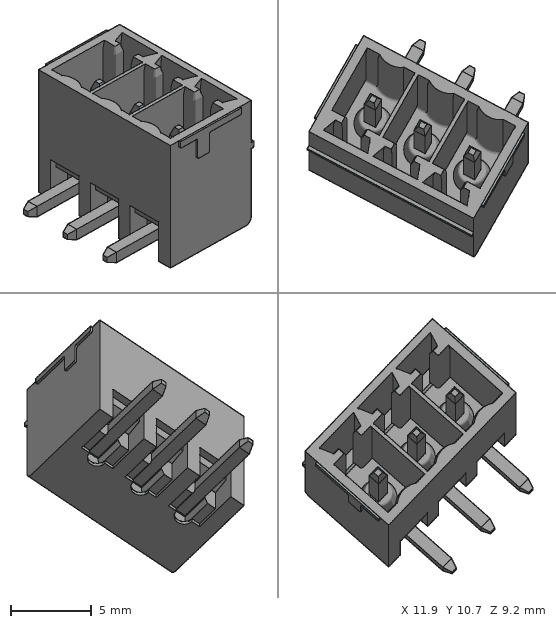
import cadquery as cq


total_width = 11.9
lug_thickness = 0.14
width = total_width - 2 * lug_thickness
depth = 7.03
height = 9.2
base_edge_radius = 0.5

contact_count = 3
pitch = 3.5
contact_xs = [(i - (contact_count - 1) / 2) * pitch for i in range(contact_count)]
axis_y = 3.01

pin_size = 0.8
pin_tip_size = 0.38
pin_tip_length = 0.6
pin_top = 8.0
leg_axis_z = 1.21
leg_reach = 3.39
leg_bottom = leg_axis_z - pin_size / 2

end_wall = 0.58
partition = 0.25
floor_z = 2.5
floor_fillet = 0.23
flare = 0.14
flare_height = 0.55
flare_z = height - flare_height
cell_front = end_wall + flare
cell_back = 5.01

bump_mouth_radius = 1.43
bump_radius = bump_mouth_radius + flare
bump_axis_y = -0.56

neck_half_width = 0.65
dovetail_front = 5.74
dovetail_back = 6.38
dovetail_front_half_width = 1.27
dovetail_back_half_width = 1.51
dovetail_slope = (dovetail_back_half_width - dovetail_front_half_width) / (dovetail_back - dovetail_front)
key_mouth_radius = 0.05
key_corner_radius = key_mouth_radius + flare
step_size = 0.23
step_y = 5.69

boss_base_radius = 1.17
boss_shoulder_radius = 0.86
boss_edge_fillet = 0.19
boss_height = 0.95

window_width = 2.5
window_height = 2.95
window_step_z = 2.21
window_shallow_depth = 0.45
window_deep_depth = 1.49
window_deep_z = 1.94

slot_top_margin = 0.13
slot_top = leg_bottom - slot_top_margin
funnel_bottom = 0.3
funnel_width = 1.24
funnel_spread = (funnel_width - pin_size) / 2

rib_depth = 0.23
rib_bottom = 5.57
rib_height = 0.46
rib_fillet = 0.14

lug_bar_front = 0.73
lug_bar_back = 6.03
lug_bar_height = 0.5
lug_stem_front = 2.24
lug_stem_back = 3.25
lug_height = 2.0
lug_inner_fillet = 0.14
lug_outer_fillet = 0.1

margin = 0.06


def box(x0, x1, y0, y1, z0, z1):
    return cq.Workplane("XY").box(x1 - x0, y1 - y0, z1 - z0, centered=False).translate((x0, y0, z0))


def flared_prism(lower, upper, bottom):
    """Straight prism on the outline `lower`, widening to the outline `upper` at the mouth."""
    straight = cq.Workplane("XY").workplane(offset=bottom).polyline(lower).close().extrude(flare_z - bottom)
    mouth = (
        cq.Workplane("XY").workplane(offset=flare_z).polyline(lower).close()
        .workplane(offset=flare_height).polyline(upper).close().loft(ruled=True)
    )
    return straight.union(mouth)


def rectangle(x0, x1, y0, y1):
    return [(x0, y0), (x1, y0), (x1, y1), (x0, y1)]


def round_post(x, y, radius, mouth_radius, bottom):
    """Upright round post that narrows to `mouth_radius` where the cell flares."""
    profile = [(0, bottom), (radius, bottom), (radius, flare_z), (mouth_radius, height), (0, height)]
    post = cq.Workplane("XZ").polyline(profile).close().revolve(360, (0, 0, 0), (0, 1, 0))
    return post.translate((x, y, 0))



def tapered_tip(face):
    """Truncated pyramid on a workplane at the start of the tip."""
    return (
        face.rect(pin_size, pin_size)
        .workplane(offset=pin_tip_length).rect(pin_tip_size, pin_tip_size).loft(ruled=True)
    )


def make_pin(x):
    half = pin_size / 2
    post_end = pin_top - pin_tip_length
    leg_end = -leg_reach + pin_tip_length
    post = box(x - half, x + half, axis_y - half, axis_y + half, leg_bottom, post_end)
    leg = box(x - half, x + half, leg_end, axis_y + half, leg_bottom, leg_bottom + pin_size)
    post_tip = tapered_tip(cq.Workplane("XY", origin=(x, axis_y, post_end)))
    leg_tip = tapered_tip(cq.Workplane("XZ", origin=(x, leg_end, leg_axis_z)))
    return post.union(leg).union(post_tip).union(leg_tip)



def make_shell():
    block = box(-width / 2, width / 2, 0, depth, 0, height)
    block = block.edges("|X and >Y and <Z").fillet(base_edge_radius)
    rib = box(-width / 2, width / 2, depth, depth + rib_depth, rib_bottom, rib_bottom + rib_height)
    rib = rib.edges("|X and >Y and <Z").fillet(rib_fillet)
    return block.union(rib)


def cell_sides(x):
    """Left and right walls of the cell: half a partition from its neighbours, or the end wall."""
    limit = width / 2 - end_wall
    reach = (pitch - partition) / 2
    left = -limit if x == contact_xs[0] else x - reach
    right = limit if x == contact_xs[-1] else x + reach
    return left, right


def main_cell(x):
    left, right = cell_sides(x)
    cell = flared_prism(
        rectangle(left, right, cell_front, cell_back),
        rectangle(left, right, cell_front - flare, cell_back + flare),
        floor_z,
    )
    cell = cell.cut(round_post(x, bump_axis_y, bump_radius, bump_mouth_radius, floor_z))
    front_floor_edges = cq.selectors.BoxSelector(
        (left, cell_front - margin, floor_z - margin),
        (right, bump_axis_y + bump_radius + margin, floor_z + margin),
    )
    return cell.edges(front_floor_edges).fillet(floor_fillet)


def keyway(x):
    neck_mouth = neck_half_width + flare
    neck = flared_prism(
        rectangle(x - neck_half_width, x + neck_half_width, axis_y, dovetail_front),
        rectangle(x - neck_mouth, x + neck_mouth, axis_y, dovetail_front),
        floor_z,
    )

    def dovetail_outline(front, back):
        front_half = dovetail_front_half_width + (front - dovetail_front) * dovetail_slope
        back_half = dovetail_front_half_width + (back - dovetail_front) * dovetail_slope
        return [
            (x - front_half, front),
            (x + front_half, front),
            (x + back_half, back),
            (x - back_half, back),
        ]

    dovetail = flared_prism(
        dovetail_outline(dovetail_front, dovetail_back),
        dovetail_outline(dovetail_front - flare, dovetail_back + flare),
        floor_z - step_size,
    )
    ramp = (
        cq.Workplane("YZ", origin=(x - neck_half_width, 0, 0))
        .moveTo(step_y - step_size, floor_z).lineTo(dovetail_front, floor_z)
        .lineTo(dovetail_front, floor_z - step_size).lineTo(step_y, floor_z - step_size)
        .close().extrude(2 * neck_half_width)
    )
    return neck.union(dovetail).union(ramp)


def key_corner_relief(x, side):
    """Waste around the rounded front corner of a key; side is -1 or 1."""
    near = x + side * neck_half_width
    far = near + side * key_corner_radius
    front = cell_back
    back = cell_back + key_corner_radius
    waste = box(min(near, far), max(near, far), front, back, floor_z, height)
    return waste.cut(round_post(far, back, key_corner_radius, key_mouth_radius, floor_z))


def make_boss(x):
    boss = (
        cq.Workplane("XY").circle(boss_base_radius)
        .workplane(offset=boss_height).circle(boss_shoulder_radius).loft(ruled=True)
    )
    boss = boss.faces(">Z").edges().fillet(boss_edge_fillet)
    return boss.translate((x, axis_y, floor_z))


def leg_window(x):
    profile = [
        (0, 0),
        (0, window_height),
        (window_shallow_depth, window_height),
        (window_shallow_depth, window_step_z),
        (window_deep_depth, window_deep_z),
        (window_deep_depth, funnel_bottom),
        (axis_y, funnel_bottom),
        (axis_y, 0),
    ]
    side_plane = cq.Workplane("YZ", origin=(x - window_width / 2, 0, 0))
    window = side_plane.polyline(profile).close().extrude(window_width)
    round_end = cq.Workplane("XY").center(x, axis_y).circle(funnel_width / 2).extrude(funnel_bottom)
    return window.union(round_end)


def leg_slot(x):
    """Slot below the leg, with a funnel that spreads to the sides and back towards the base."""
    half = pin_size / 2
    back = axis_y + half
    slot = box(x - half, x + half, 0, back, slot_top, leg_bottom)
    wide = half + funnel_spread
    funnel = (
        cq.Workplane("XY").workplane(offset=funnel_bottom)
        .polyline(rectangle(x - wide, x + wide, 0, back + funnel_spread)).close()
        .workplane(offset=slot_top - funnel_bottom)
        .polyline(rectangle(x - half, x + half, 0, back)).close().loft(ruled=True)
    )
    return slot.union(funnel)


def make_housing(pins):
    housing = make_shell()
    for x in contact_xs:
        housing = housing.cut(main_cell(x)).cut(keyway(x))
        for side in (-1, 1):
            housing = housing.cut(key_corner_relief(x, side))
        housing = housing.union(make_boss(x)).cut(leg_window(x)).cut(leg_slot(x))
    for pin in pins:
        housing = housing.cut(pin)
    return housing



def make_lug(start_x):
    bar_z = height - lug_bar_height
    bar = box(start_x, start_x + lug_thickness, lug_bar_front, lug_bar_back, bar_z, height)
    stem = box(start_x, start_x + lug_thickness, lug_stem_front, lug_stem_back, height - lug_height, height)
    bar = bar.edges("|X and <Z").fillet(lug_outer_fillet)
    stem = stem.edges("|X and <Z").fillet(lug_outer_fillet)
    lug = bar.union(stem)
    inner_corners = cq.selectors.BoxSelector(
        (start_x, lug_stem_front - margin, bar_z - margin),
        (start_x + lug_thickness, lug_stem_back + margin, bar_z + margin),
    )
    return lug.edges("|X").edges(inner_corners).fillet(lug_inner_fillet)


pins = [make_pin(x) for x in contact_xs]
housing = make_housing(pins)
lugs = [make_lug(start_x) for start_x in (-total_width / 2, width / 2)]

result = cq.Compound.makeCompound(
    [housing.val()] + [pin.val() for pin in pins] + [lug.val() for lug in lugs]
)